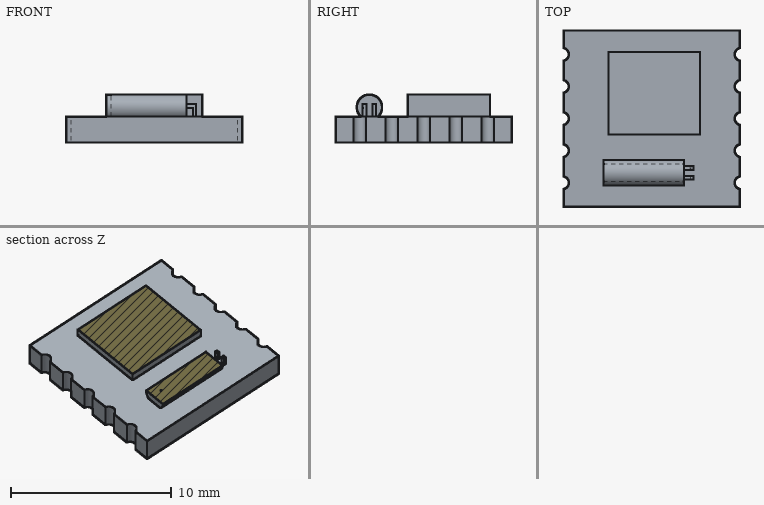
import cadquery as cq

board_side = 11.0
board_thickness = 1.63
total_height = 3.0

notch_count = 5
notch_pitch = 2.0
notch_radius = 0.4
notch_depth = 0.32

chip_length = 5.71
chip_width = 5.15
chip_center_x = 0.15
chip_center_y = 1.57

can_diameter = 1.6
can_length = 5.0
can_start_x = -3.0
can_center_y = -3.39

lead_spacing = 0.6
lead_width = 0.24
lead_reach = 0.6
lead_top_z = 2.4
lead_arm_thickness = 0.23
lead_leg_thickness = 0.19

can_radius = can_diameter / 2
can_center_z = total_height - can_radius
can_end_x = can_start_x + can_length
embed = 0.11


def make_board():
    board = cq.Workplane("XY").box(
        board_side, board_side, board_thickness, centered=(True, True, False)
    )
    cutter_x = board_side / 2 - notch_depth + notch_radius
    first_y = -(notch_count - 1) / 2 * notch_pitch
    centers = [
        (side * cutter_x, first_y + i * notch_pitch)
        for side in (-1, 1)
        for i in range(notch_count)
    ]
    cutters = cq.Workplane("XY").pushPoints(centers).circle(notch_radius).extrude(board_thickness)
    return board.cut(cutters)


def make_chip():
    return (
        cq.Workplane("XY", origin=(chip_center_x, chip_center_y, board_thickness))
        .rect(chip_length, chip_width)
        .extrude(total_height - board_thickness)
    )


def make_can():
    return (
        cq.Workplane("YZ", origin=(can_start_x, can_center_y, can_center_z))
        .circle(can_radius)
        .extrude(can_length)
    )


def make_lead(center_y):
    """L-shaped lead: an arm out of the can, then a leg down to the board."""
    root_x = can_end_x - embed
    outer_x = can_end_x + lead_reach
    inner_x = outer_x - lead_leg_thickness
    arm_bottom_z = lead_top_z - lead_arm_thickness
    foot_z = board_thickness - embed
    return (
        cq.Workplane("XZ", origin=(0, center_y, 0))
        .moveTo(root_x, lead_top_z)
        .lineTo(outer_x, lead_top_z)
        .lineTo(outer_x, foot_z)
        .lineTo(inner_x, foot_z)
        .lineTo(inner_x, arm_bottom_z)
        .lineTo(root_x, arm_bottom_z)
        .close()
        .extrude(lead_width / 2, both=True)
    )


result = make_board().union(make_chip()).union(make_can())
for side in (-1, 1):
    result = result.union(make_lead(can_center_y + side * lead_spacing / 2))